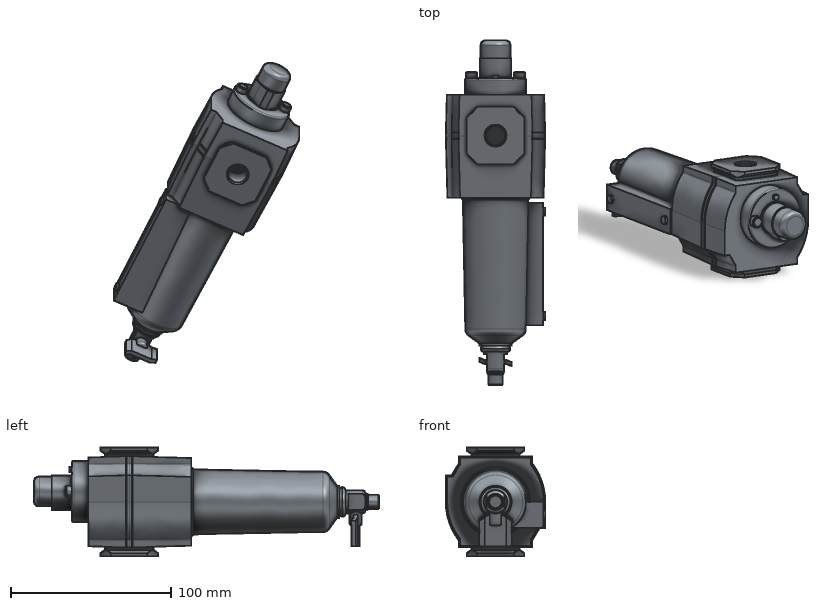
import cadquery as cq
import math


HOUSING_BACK_Y = 25.6
HOUSING_FRONT_Y = -38.9
DRAFT_ANGLE = 1.5
HALF_WIDTH = 31.155
HALF_HEIGHT = 28.5
FACE_HALF_WIDTH = 23.1
FACE_SIDE_Z = 23.8
LEDGE_X = 27.4
LEDGE_Z = 16.6
GROOVE_OFFSET = 1.95
GROOVE_WIDTH = 0.5
GROOVE_DEPTH = 0.4

PORT_FACE_Z = 34.0
FLANGE_SIZE = 36.0
FLANGE_CORNER = 6.6
FLANGE_EDGE = 2.0
FLANGE_BEVEL = 1.9
NECK_SIZE = 30.6
NECK_CORNER_RADIUS = 3.2
NECK_ROOT = 1.0
PORT_DIAMETER = 11.8
PORT_CHAMFER = 1.0
PORT_DEPTH = 14.0

COLLAR_RADIUS = 21.7
COLLAR_END_Y = -40.1
BOWL_TOP_RADIUS = 20.5
BOWL_END_RADIUS = 19.0
BOWL_END_Y = -120.8
SHOULDER_RADIUS = 5.1
CONE_ANGLE = 54.0
NECK_RADIUS = 10.1
NECK_END_Y = -131.3

GAUGE_OUTER_X = 29.7
GAUGE_BACK_Y = -41.9
GAUGE_FRONT_Y = -118.6
GAUGE_HEIGHT = 16.3
BUTTON_DIAMETER = 5.2
BUTTON_SPACING = 65.2

COVER_Z = 6.5
COVER_RADIUS = 19.1
COVER_TOP_Y = 35.8
COVER_EDGE_RADIUS = 1.0
POST_RADIUS = 10.0
POST_SHOULDER_Y = 48.4
POST_FOOT = 0.7
TIP_RADIUS = 9.4
TIP_END_Y = HOUSING_BACK_Y + 34.0
TIP_ROUNDING = 3.3
KEEL_DROP = 11.9
SCREW_X = 15.0
SCREW_DIAMETER = 7.0
SCREW_HEIGHT = 4.1
SCREW_CHAMFER = 0.7
STUD_RADIAL_OFFSET = 13.6
STUD_DIAMETER = 3.5
STUD_HEIGHT = 1.6

VALVE_END_Y = TIP_END_Y - 215.79
VALVE_ROOT_RADIUS = 8.6
VALVE_RING_RADIUS = 9.3
VALVE_RING_Y = -133.2
VALVE_BODY_RADIUS = 7.3
VALVE_FLATS_START_Y = -136.8
VALVE_BODY_END_Y = -145.5
VALVE_BODY_ROUNDING = 2.2
VALVE_FLATS = 10.7
SPOUT_RADIUS = 4.6
SPOUT_STEP_START_Y = -148.4
SPOUT_STEP_END_Y = -149.5
SPOUT_CHAMFER = 0.7

LEVER_Y = -141.5
STEM_DIAMETER = 7.8
STEM_TOP_Z = -4.0
STEM_BOTTOM_Z = -15.0
STEM_ROUNDING = 2.0
BLADE_THICKNESS = 2.6
BLADE_HALF_WIDTH = 10.0
BLADE_BEND_X = 6.8
BLADE_WING_SHIFT = 1.3
BLADE_BOTTOM_Z = -27.8
BLADE_TOP_Z = -8.0
BLADE_TOP_HALF_WIDTH = 4.4
BLADE_SHOULDER_Z = -11.8


def cylinder_along_y(diameter, start_y, length, x=0.0, z=0.0):
    """Cylinder from start_y towards +Y."""
    plane = cq.Plane(origin=(x, start_y, z), xDir=(1, 0, 0), normal=(0, 1, 0))
    return cq.Workplane(plane).circle(diameter / 2).extrude(length)


def turned(profile):
    """Close a (radius, y) sketch and revolve it about the Y axis."""
    return profile.close().revolve(360, (0, 0, 0), (0, 1, 0))


def housing_outline(normal_y, side_inset=0.0):
    """Housing section at the port plane; it is the same after half a turn about Y."""
    flat_x = HALF_WIDTH - side_inset
    ledge_x = LEDGE_X - side_inset
    face_x = FACE_HALF_WIDTH - side_inset
    run = flat_x - face_x
    radius = (run**2 + FACE_SIDE_Z**2) / (2 * run)
    mid_z = FACE_SIDE_Z / 2
    mid_x = flat_x - radius + math.sqrt(radius**2 - mid_z**2)
    turn = -normal_y
    plane = cq.Plane(origin=(0, 0, 0), xDir=(turn, 0, 0), normal=(0, normal_y, 0))
    sketch = cq.Workplane(plane).moveTo(-turn * face_x, HALF_HEIGHT)
    for side in (1, -1):
        s = side * turn
        sketch = (
            sketch.lineTo(s * face_x, side * HALF_HEIGHT)
            .lineTo(s * face_x, side * FACE_SIDE_Z)
            .threePointArc((s * mid_x, side * mid_z), (s * flat_x, 0))
            .lineTo(s * flat_x, -side * LEDGE_Z)
            .lineTo(s * ledge_x, -side * LEDGE_Z)
            .lineTo(s * face_x, -side * FACE_SIDE_Z)
            .lineTo(s * face_x, -side * HALF_HEIGHT)
        )
    return sketch.close()


def side_grooves():
    """Two shallow grooves running up both sides of the housing."""
    core = housing_outline(1, GROOVE_DEPTH).extrude(HOUSING_BACK_Y, both=True)
    slabs = cq.Workplane("XY").pushPoints([(0, GROOVE_OFFSET), (0, -GROOVE_OFFSET)])
    slabs = slabs.box(3 * HALF_WIDTH, GROOVE_WIDTH, 2 * HALF_HEIGHT)
    return slabs.cut(core)


def port_flange():
    """Bevelled square flange with cut corners on a rounded neck, on the +Z face."""
    neck_top = PORT_FACE_Z - FLANGE_EDGE - FLANGE_BEVEL
    neck_bottom = HALF_HEIGHT - NECK_ROOT
    neck = cq.Workplane("XY").workplane(offset=neck_bottom).rect(NECK_SIZE, NECK_SIZE)
    neck = neck.extrude(neck_top - neck_bottom).edges("|Z").fillet(NECK_CORNER_RADIUS)
    bevel = cq.Workplane("XY").workplane(offset=neck_top).rect(NECK_SIZE, NECK_SIZE)
    bevel = bevel.workplane(offset=FLANGE_BEVEL).rect(FLANGE_SIZE, FLANGE_SIZE).loft(ruled=True)
    rim = cq.Workplane("XY").workplane(offset=PORT_FACE_Z - FLANGE_EDGE)
    rim = rim.rect(FLANGE_SIZE, FLANGE_SIZE).extrude(FLANGE_EDGE)
    corner_limit = cq.Workplane("XY").rect(FLANGE_SIZE, FLANGE_SIZE).extrude(PORT_FACE_Z)
    corner_limit = corner_limit.edges("|Z").chamfer(FLANGE_CORNER)
    return bevel.union(rim).intersect(corner_limit).union(neck)


def port_bore():
    """Blind bore with a chamfered mouth, from the +Z port face."""
    bottom = PORT_FACE_Z - PORT_DEPTH
    radius = PORT_DIAMETER / 2
    bore = (
        cq.Workplane("XZ")
        .moveTo(0, bottom)
        .lineTo(radius, bottom)
        .lineTo(radius, PORT_FACE_Z - PORT_CHAMFER)
        .lineTo(radius + PORT_CHAMFER, PORT_FACE_Z)
        .lineTo(0, PORT_FACE_Z)
        .close()
    )
    return bore.revolve(360, (0, 0, 0), (0, 1, 0))


def make_housing():
    back = housing_outline(1).extrude(HOUSING_BACK_Y, taper=DRAFT_ANGLE)
    front = housing_outline(-1).extrude(-HOUSING_FRONT_Y, taper=DRAFT_ANGLE)
    body = back.union(front).cut(side_grooves())
    for turn in (0, 180):
        body = body.union(port_flange().rotate((0, 0, 0), (0, 1, 0), turn))
        body = body.cut(port_bore().rotate((0, 0, 0), (0, 1, 0), turn))
    return body


def sight_gauge():
    """Box on the +X side of the bowl with two round buttons on its outer face."""
    length = GAUGE_BACK_Y - GAUGE_FRONT_Y
    middle_y = (GAUGE_BACK_Y + GAUGE_FRONT_Y) / 2
    gauge = cq.Workplane("XY").box(GAUGE_OUTER_X, length, GAUGE_HEIGHT, centered=(False, True, False))
    gauge = gauge.translate((0, middle_y, -GAUGE_HEIGHT))
    buttons = cq.Workplane("YZ").workplane(offset=GAUGE_OUTER_X)
    buttons = buttons.pushPoints(
        [(middle_y + side * BUTTON_SPACING / 2, -GAUGE_HEIGHT / 2) for side in (1, -1)]
    )
    buttons = buttons.circle(BUTTON_DIAMETER / 2).extrude(HALF_WIDTH - GAUGE_OUTER_X)
    return gauge.union(buttons)


def make_bowl():
    angle = math.radians(CONE_ANGLE)
    arc_centre_r = BOWL_END_RADIUS - SHOULDER_RADIUS
    mid_point = (
        arc_centre_r + SHOULDER_RADIUS * math.cos(angle / 2),
        BOWL_END_Y - SHOULDER_RADIUS * math.sin(angle / 2),
    )
    cone_r = arc_centre_r + SHOULDER_RADIUS * math.cos(angle)
    cone_y = BOWL_END_Y - SHOULDER_RADIUS * math.sin(angle)
    neck_y = cone_y - (cone_r - NECK_RADIUS) / math.tan(angle)
    shell = turned(
        cq.Workplane("XY")
        .moveTo(0, HOUSING_FRONT_Y)
        .lineTo(COLLAR_RADIUS, HOUSING_FRONT_Y)
        .lineTo(BOWL_TOP_RADIUS, COLLAR_END_Y)
        .lineTo(BOWL_END_RADIUS, BOWL_END_Y)
        .threePointArc(mid_point, (cone_r, cone_y))
        .lineTo(NECK_RADIUS, neck_y)
        .lineTo(NECK_RADIUS, NECK_END_Y)
        .lineTo(0, NECK_END_Y)
    )
    return shell.union(sight_gauge())


def post_keel():
    """Keel under the post: two 45-degree planes tangent to it, cut off by a flat underside."""
    tangent = POST_RADIUS * math.sqrt(0.5)
    bottom_half_width = 2 * tangent - KEEL_DROP
    keel = (
        cq.Workplane("XZ")
        .workplane(offset=-POST_SHOULDER_Y)
        .moveTo(0, COVER_Z)
        .lineTo(tangent, COVER_Z - tangent)
        .lineTo(bottom_half_width, COVER_Z - KEEL_DROP)
        .lineTo(-bottom_half_width, COVER_Z - KEEL_DROP)
        .lineTo(-tangent, COVER_Z - tangent)
        .close()
    )
    return keel.extrude(POST_SHOULDER_Y - COVER_TOP_Y)


def make_cover():
    disc = cylinder_along_y(2 * COVER_RADIUS, HOUSING_BACK_Y, COVER_TOP_Y - HOUSING_BACK_Y)
    disc = disc.faces(">Y").edges().fillet(COVER_EDGE_RADIUS)
    post = turned(
        cq.Workplane("XY")
        .moveTo(0, HOUSING_BACK_Y)
        .lineTo(POST_RADIUS + POST_FOOT, HOUSING_BACK_Y)
        .lineTo(POST_RADIUS + POST_FOOT, COVER_TOP_Y)
        .lineTo(POST_RADIUS, COVER_TOP_Y + POST_FOOT)
        .lineTo(POST_RADIUS, POST_SHOULDER_Y)
        .lineTo(TIP_RADIUS, POST_SHOULDER_Y)
        .lineTo(TIP_RADIUS, TIP_END_Y)
        .lineTo(0, TIP_END_Y)
    )
    post = post.faces(">Y").edges().fillet(TIP_ROUNDING)
    cover = disc.union(post).translate((0, 0, COVER_Z)).union(post_keel())
    for side in (1, -1):
        screw = cylinder_along_y(SCREW_DIAMETER, COVER_TOP_Y, SCREW_HEIGHT, side * SCREW_X, COVER_Z)
        cover = cover.union(screw.faces(">Y").edges().chamfer(SCREW_CHAMFER))
    stud_z = COVER_Z + STUD_RADIAL_OFFSET
    return cover.union(cylinder_along_y(STUD_DIAMETER, COVER_TOP_Y, STUD_HEIGHT, 0, stud_z))


def make_lever():
    """Blade with two bent wings, hanging from a short round stem."""
    half = BLADE_THICKNESS / 2
    shift = BLADE_WING_SHIFT
    section = [
        (-BLADE_HALF_WIDTH, shift + half),
        (-BLADE_BEND_X, half),
        (BLADE_BEND_X, half),
        (BLADE_HALF_WIDTH, half - shift),
        (BLADE_HALF_WIDTH, -half - shift),
        (BLADE_BEND_X, -half),
        (-BLADE_BEND_X, -half),
        (-BLADE_HALF_WIDTH, shift - half),
    ]
    blade = cq.Workplane("XY").workplane(offset=BLADE_BOTTOM_Z).polyline(section).close()
    blade = blade.extrude(BLADE_TOP_Z - BLADE_BOTTOM_Z)
    face = [
        (-BLADE_HALF_WIDTH, BLADE_BOTTOM_Z),
        (-BLADE_HALF_WIDTH, BLADE_SHOULDER_Z),
        (-BLADE_TOP_HALF_WIDTH, BLADE_TOP_Z),
        (BLADE_TOP_HALF_WIDTH, BLADE_TOP_Z),
        (BLADE_HALF_WIDTH, BLADE_SHOULDER_Z),
        (BLADE_HALF_WIDTH, BLADE_BOTTOM_Z),
    ]
    face_limit = cq.Workplane("XZ").polyline(face).close().extrude(BLADE_HALF_WIDTH, both=True)
    stem = cq.Workplane("XY").workplane(offset=STEM_BOTTOM_Z).circle(STEM_DIAMETER / 2)
    stem = stem.extrude(STEM_TOP_Z - STEM_BOTTOM_Z).faces("<Z").edges().fillet(STEM_ROUNDING)
    return blade.intersect(face_limit).union(stem).translate((0, LEVER_Y, 0))


def make_drain_valve(fitted_lever):
    diagonal = math.sqrt(0.5)
    ring_drop = VALVE_RING_RADIUS - VALVE_BODY_RADIUS
    shoulder_r = VALVE_BODY_RADIUS - VALVE_BODY_ROUNDING
    shoulder_y = VALVE_BODY_END_Y - VALVE_BODY_ROUNDING
    valve = turned(
        cq.Workplane("XY")
        .moveTo(0, NECK_END_Y)
        .lineTo(VALVE_ROOT_RADIUS, NECK_END_Y)
        .lineTo(VALVE_RING_RADIUS, VALVE_RING_Y)
        .threePointArc(
            (VALVE_BODY_RADIUS + ring_drop * diagonal, VALVE_RING_Y - ring_drop * diagonal),
            (VALVE_BODY_RADIUS, VALVE_RING_Y - ring_drop),
        )
        .lineTo(VALVE_BODY_RADIUS, VALVE_BODY_END_Y)
        .threePointArc(
            (
                shoulder_r + VALVE_BODY_ROUNDING * diagonal,
                VALVE_BODY_END_Y - VALVE_BODY_ROUNDING * diagonal,
            ),
            (shoulder_r, shoulder_y),
        )
        .lineTo(shoulder_r, SPOUT_STEP_START_Y)
        .lineTo(SPOUT_RADIUS, SPOUT_STEP_END_Y)
        .lineTo(SPOUT_RADIUS, VALVE_END_Y + SPOUT_CHAMFER)
        .lineTo(SPOUT_RADIUS - SPOUT_CHAMFER, VALVE_END_Y)
        .lineTo(0, VALVE_END_Y)
    )
    flat_length = VALVE_FLATS_START_Y - VALVE_END_Y
    for side in (1, -1):
        waste = cq.Workplane("XY").box(VALVE_FLATS, flat_length, 2 * VALVE_BODY_RADIUS)
        middle_y = (VALVE_FLATS_START_Y + VALVE_END_Y) / 2
        valve = valve.cut(waste.translate((side * VALVE_FLATS, middle_y, 0)))
    return valve.cut(fitted_lever)


housing = make_housing()
bowl = make_bowl()
cover = make_cover()
lever = make_lever()
drain_valve = make_drain_valve(lever)

result = cq.Compound.makeCompound(
    [housing.val(), bowl.val(), cover.val(), drain_valve.val(), lever.val()]
)